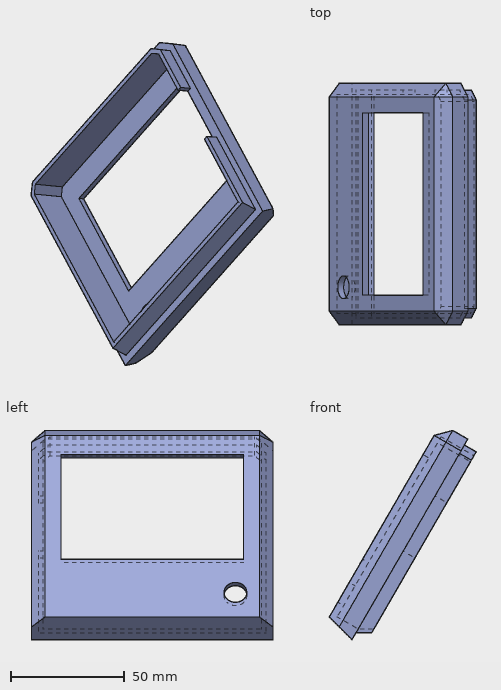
import cadquery as cq
import math

TILT = 30.0

FRAME_WIDTH = 106.0
FRAME_HEIGHT = 98.0
FRAME_CHAMFER = 6.0
BOTTOM_DROP = 10.0
PANEL_THICKNESS = 3.0

PLUG_LENGTH = 6.0
PLUG_INSET = 3.0
PLUG_WALL = 2.0
PLUG_BOTTOM_LEVEL = -7.0

WINDOW_WIDTH = 80.0
WINDOW_BOTTOM = 29.25
WINDOW_HEIGHT = 53.0
HOLE_DIAMETER = 10.0
HOLE_Y = -36.5
HOLE_HEIGHT = 12.5
NOTCH_BOTTOM = 41.2
NOTCH_HEIGHT = 28.0

SIN_TILT = math.sin(math.radians(TILT))
COS_TILT = math.cos(math.radians(TILT))

frame_depth = BOTTOM_DROP * (COS_TILT + SIN_TILT)
frame_tip = BOTTOM_DROP * (SIN_TILT - COS_TILT)
total_depth = frame_depth + PLUG_LENGTH


def inset_chamfer(inset):
    """Corner chamfer leg of the frame outline after an inward offset."""
    return FRAME_CHAMFER - inset * (2 - math.sqrt(2))


def level_height(level, depth):
    """Height up the panel, at a given depth, of a plane that is level once tilted."""
    return (level + depth * SIN_TILT) / COS_TILT


def extruded_profile(points, width):
    """Side profile of (depth, height) points, extruded symmetrically across the width."""
    return cq.Workplane("XZ").polyline(points).close().extrude(width / 2, both=True)


def make_frame():
    """Outer frame with a 45 degree bottom and chamfered front edges and top corners."""
    profile = [(0, 0), (0, FRAME_HEIGHT), (frame_depth, FRAME_HEIGHT), (frame_depth, frame_tip)]
    frame = extruded_profile(profile, FRAME_WIDTH)
    top_corners = frame.edges(">Z and |X")
    front_edges = frame.faces("<X").edges("|Z or >Z")
    return frame.newObject(top_corners.vals() + front_edges.vals()).chamfer(FRAME_CHAMFER)


def make_plug_block(inset, bottom_level):
    """Block with chamfered top corners and a level bottom, from the back of the frame to the rear."""
    top = FRAME_HEIGHT - inset
    profile = [
        (frame_depth, level_height(bottom_level, frame_depth)),
        (frame_depth, top),
        (total_depth, top),
        (total_depth, level_height(bottom_level, total_depth)),
    ]
    block = extruded_profile(profile, FRAME_WIDTH - 2 * inset)
    return block.edges(">Z and |X").chamfer(inset_chamfer(inset))


def make_cavity():
    """Hollow behind the front panel: a level floor in the plug, then a floor square to the panel."""
    inset = PLUG_INSET + PLUG_WALL
    width = FRAME_WIDTH - 2 * inset
    floor_level = PLUG_BOTTOM_LEVEL + PLUG_WALL * COS_TILT
    frame_floor = level_height(floor_level, frame_depth)
    height = FRAME_HEIGHT - inset - frame_floor
    frame_space = (
        cq.Workplane("XY")
        .box(frame_depth - PANEL_THICKNESS, width, height, centered=(False, True, False))
        .translate((PANEL_THICKNESS, 0, frame_floor))
        .edges(">Z and |X")
        .chamfer(inset_chamfer(inset))
    )
    return frame_space.union(make_plug_block(inset, floor_level))


def make_window():
    """Display opening through the front panel."""
    return (
        cq.Workplane("XY")
        .box(PANEL_THICKNESS, WINDOW_WIDTH, WINDOW_HEIGHT, centered=(False, True, False))
        .translate((0, 0, WINDOW_BOTTOM))
    )


def make_round_hole():
    """Round opening through the front panel, below the window on the -Y side."""
    return (
        cq.Workplane("YZ")
        .center(HOLE_Y, HOLE_HEIGHT)
        .circle(HOLE_DIAMETER / 2)
        .extrude(PANEL_THICKNESS)
    )


def make_notch():
    """Slot through the +Y wall of the plug, open to the rear."""
    outer_y = FRAME_WIDTH / 2 - PLUG_INSET
    return (
        cq.Workplane("XY")
        .box(PLUG_LENGTH, PLUG_WALL, NOTCH_HEIGHT, centered=False)
        .translate((frame_depth, outer_y - PLUG_WALL, NOTCH_BOTTOM))
    )


bezel = make_frame().union(make_plug_block(PLUG_INSET, PLUG_BOTTOM_LEVEL))
bezel = bezel.cut(make_cavity())
bezel = bezel.cut(make_window())
bezel = bezel.cut(make_round_hole())
bezel = bezel.cut(make_notch())

result = bezel.rotate((0, 0, 0), (0, 1, 0), TILT)